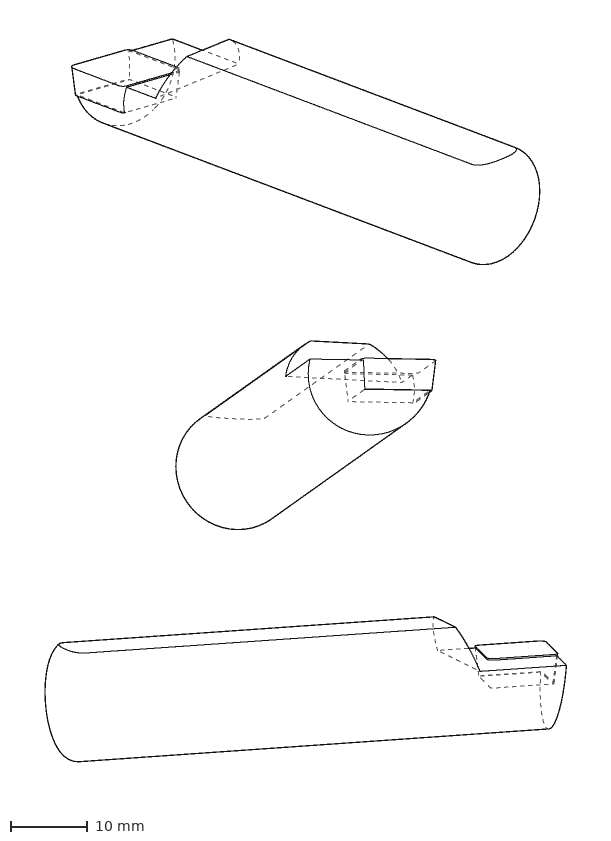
import cadquery as cq
import math

LENGTH = 70.0
BAR_DIAMETER = 16.0
HEIGHT = 15.0
WIDTH = 16.5
END_FILLET = 1.7
SHELF_Z = 1.7
FRONT_SETBACK = 0.2
SHELF_END_X = 15.0
SHOULDER_ANGLE = 20.0

INSERT_TOP_Z = 1.9
INSERT_THICKNESS = 4.0
INSERT_WIDTH = 9.65
INSERT_CORNER_ANGLE = 80.0
INSERT_CORNER_RADIUS = 0.85
RELIEF_ANGLE = 7.0

BAR_RADIUS = BAR_DIAMETER / 2
FLAT_Z = HEIGHT - BAR_RADIUS
INSERT_TIP_Y = BAR_RADIUS - WIDTH
CORNER = math.radians(INSERT_CORNER_ANGLE)
INSERT_SIDE = INSERT_WIDTH / math.sin(CORNER)
INSERT_SHIFT = INSERT_WIDTH / math.tan(CORNER)
SHARP_TIP_X = INSERT_CORNER_RADIUS * (1 - 1 / math.tan(CORNER / 2))


def make_insert():
    """Rhombic cutting insert with rounded corners, narrowing downward."""
    back_y = INSERT_TIP_Y + INSERT_WIDTH
    outline = (
        cq.Sketch()
        .polygon([
            (SHARP_TIP_X, INSERT_TIP_Y),
            (SHARP_TIP_X + INSERT_SIDE, INSERT_TIP_Y),
            (SHARP_TIP_X + INSERT_SIDE + INSERT_SHIFT, back_y),
            (SHARP_TIP_X + INSERT_SHIFT, back_y),
            (SHARP_TIP_X, INSERT_TIP_Y),
        ])
        .vertices()
        .fillet(INSERT_CORNER_RADIUS)
    )
    return (
        cq.Workplane("XY", origin=(0, 0, INSERT_TOP_Z))
        .placeSketch(outline)
        .extrude(-INSERT_THICKNESS, taper=RELIEF_ANGLE)
    )


def make_round_bar():
    """Round bar with a rounded rear end and a flat along the top."""
    bar = cq.Workplane("YZ").circle(BAR_RADIUS).extrude(LENGTH)
    bar = bar.faces(">X").edges().fillet(END_FILLET)
    above_flat = (
        cq.Workplane("XY", origin=(0, 0, FLAT_Z))
        .rect(2 * LENGTH, 2 * BAR_RADIUS)
        .extrude(BAR_RADIUS)
    )
    return bar.cut(above_flat)


def make_nose_cut():
    """Space above the shelf, closed at the rear by the sloped shoulder."""
    shoulder_run = (BAR_RADIUS - SHELF_Z) * math.tan(math.radians(SHOULDER_ANGLE))
    return (
        cq.Workplane("XZ")
        .polyline([
            (-BAR_RADIUS, SHELF_Z),
            (SHELF_END_X, SHELF_Z),
            (SHELF_END_X + shoulder_run, BAR_RADIUS),
            (-BAR_RADIUS, BAR_RADIUS),
        ])
        .close()
        .extrude(BAR_RADIUS, both=True)
    )


def make_front_cut():
    """Space ahead of the front face, which is parallel to the insert side and set back from it."""
    lead = math.radians(90 - INSERT_CORNER_ANGLE)
    relief = math.radians(RELIEF_ANGLE)
    outward = cq.Vector(
        -math.cos(lead) * math.cos(relief),
        math.sin(lead) * math.cos(relief),
        -math.sin(relief),
    )
    along_face = cq.Vector(math.sin(lead), math.cos(lead), 0)
    face_point = cq.Vector(SHARP_TIP_X, INSERT_TIP_Y, INSERT_TOP_Z) - outward * FRONT_SETBACK
    face_plane = cq.Plane(origin=face_point, xDir=along_face, normal=outward)
    return cq.Workplane(face_plane).rect(LENGTH, LENGTH).extrude(BAR_RADIUS)


def make_holder(insert):
    """Bar with the front face, shelf and matching insert pocket cut into it."""
    return (
        make_round_bar()
        .cut(make_front_cut())
        .cut(make_nose_cut())
        .cut(insert)
    )


insert = make_insert()
holder = make_holder(insert)

result = cq.Compound.makeCompound([holder.solids().val(), insert.solids().val()])